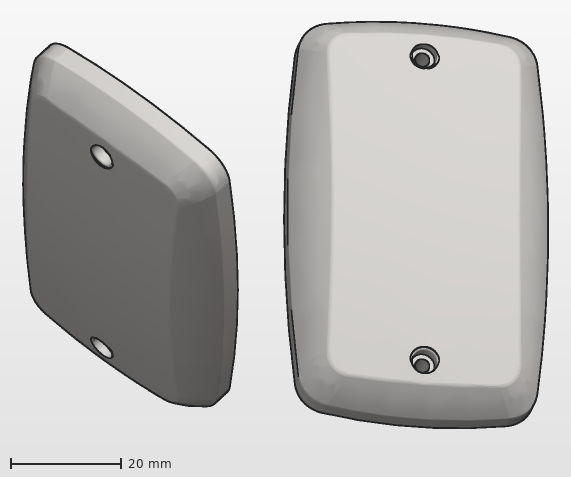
import cadquery as cq
import math

length = 77.8
width = 48.2
thickness = 11.8

side_radius = 259.75
end_radius = 102.65

dome_radius = 260.5

rim_height = 3.7
bevel_radius = 21.8
bevel_start_angle = 61.0
bevel_reach = 8.55
bevel_corner_radius = 7.15

rim_rounding = 0.8
dome_rounding = 1.2

hole_spacing = 60.0
hole_diameter = 2.65
counterbore_diameter = 4.5
counterbore_depth = 2.3
counterbore_rounding = 0.5

clearance = 0.8
selection_margin = 0.1

front_y = -thickness
rim_y = -rim_height


def bevelled_disc(radius):
    """Disc about the Y axis, starting at the rim, whose edge is the bevel in cross-section."""
    start = math.radians(bevel_start_angle)
    centre_inset = bevel_radius * math.sin(start)
    centre_height = -bevel_radius * math.cos(start)

    def bevel_point(inset):
        height = centre_height + math.sqrt(bevel_radius**2 - (centre_inset - inset) ** 2)
        return radius - inset, rim_y - height

    inner_x, inner_y = bevel_point(bevel_reach)
    return (
        cq.Workplane("XY")
        .moveTo(0, rim_y)
        .lineTo(radius, rim_y)
        .threePointArc(bevel_point(bevel_reach / 2), (inner_x, inner_y))
        .lineTo(0, inner_y)
        .close()
        .revolve(360, (0, 0, 0), (0, 1, 0))
    )


def turned_about_y(shape, angle):
    return shape.rotate((0, 0, 0), (0, 1, 0), angle)


def make_bevel():
    """Overlap of four large discs, one for each bulging side."""
    side_shift = side_radius - width / 2
    end_shift = end_radius - length / 2
    side_disc = bevelled_disc(side_radius)
    end_disc = bevelled_disc(end_radius)
    return (
        side_disc.translate((-side_shift, 0, 0))
        .intersect(turned_about_y(side_disc, 180).translate((side_shift, 0, 0)))
        .intersect(turned_about_y(end_disc, -90).translate((0, 0, -end_shift)))
        .intersect(turned_about_y(end_disc, 90).translate((0, 0, end_shift)))
    )


def make_dome():
    """Ball whose -Y crest touches the front of the part."""
    return cq.Workplane("XY").sphere(dome_radius).translate((0, front_y + dome_radius, 0))


def dome_y(distance):
    """Y of the dome at a distance from its crest axis."""
    return front_y + dome_radius - math.sqrt(dome_radius**2 - distance**2)


def hole_cutter(z):
    """Through hole and counterbore, with the counterbore mouth eased onto the dome by an arc."""
    mouth_y = dome_y(z)
    floor_y = mouth_y + counterbore_depth
    hole_radius = hole_diameter / 2
    bore_radius = counterbore_diameter / 2
    mouth_radius = bore_radius + counterbore_rounding
    return (
        cq.Workplane("XY")
        .moveTo(0, clearance)
        .lineTo(hole_radius, clearance)
        .lineTo(hole_radius, floor_y)
        .lineTo(bore_radius, floor_y)
        .lineTo(bore_radius, mouth_y + counterbore_rounding)
        .radiusArc((mouth_radius, mouth_y), -counterbore_rounding)
        .lineTo(mouth_radius, mouth_y - clearance)
        .lineTo(0, mouth_y - clearance)
        .close()
        .revolve(360, (0, 0, 0), (0, 1, 0))
        .translate((0, 0, z))
    )


bevel = make_bevel().edges("%BSPLINE").fillet(bevel_corner_radius)

body = bevel.faces(">Y").wires().toPending().workplane().extrude(rim_height)

body = body.intersect(make_dome())

body = body.faces("%SPHERE").edges().fillet(dome_rounding)

rim_edges = cq.selectors.BoxSelector(
    (-width, rim_y - selection_margin, -length),
    (width, rim_y + selection_margin, length),
    boundingbox=True,
)
body = body.edges(rim_edges).fillet(rim_rounding)

for z in (-hole_spacing / 2, hole_spacing / 2):
    body = body.cut(hole_cutter(z))

result = body